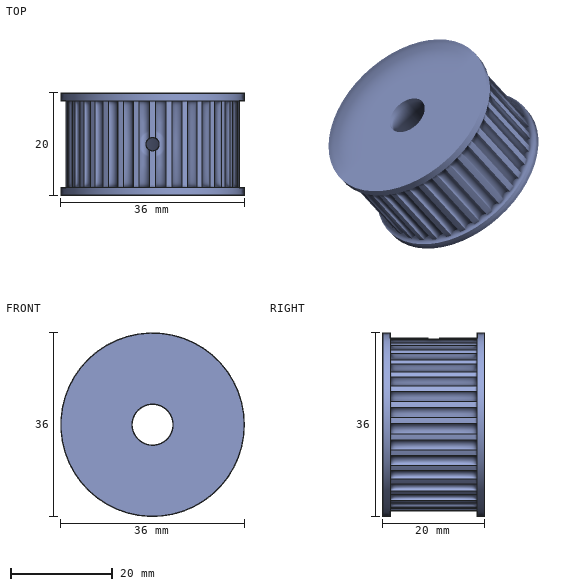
import cadquery as cq

flange_diameter = 36
total_width = 20.0
flange_width = 1.5
bore_diameter = 8.0

tooth_count = 33
rim_diameter = 34.0
groove_diameter = 2.0

screw_hole_diameter = 2.6

rim_radius = rim_diameter / 2
rim_width = total_width - 2 * flange_width
pitch_angle = 360 / tooth_count


def cylinder_along_y(diameter, width):
    """Solid cylinder on the Y axis, centred on the origin."""
    cylinder = cq.Workplane("XZ").circle(diameter / 2).extrude(width)
    return cylinder.translate((0, width / 2, 0))


def make_groove_cutter():
    """Round bar centred on the rim surface, above the axis."""
    return cylinder_along_y(groove_diameter, rim_width).translate((0, 0, rim_radius))


def make_toothed_rim():
    """Rim with evenly spaced half-round grooves and a tooth centred on +Z."""
    rim = cylinder_along_y(rim_diameter, rim_width)
    cutter = make_groove_cutter()
    for index in range(tooth_count):
        angle = (index + 0.5) * pitch_angle
        rim = rim.cut(cutter.rotate((0, 0, 0), (0, 1, 0), angle))
    return rim


def make_flange(side):
    """Plain disc at the end of the rim on the given side of Y."""
    offset = side * (total_width - flange_width) / 2
    return cylinder_along_y(flange_diameter, flange_width).translate((0, offset, 0))


pulley = make_toothed_rim().union(make_flange(-1)).union(make_flange(1))
pulley = pulley.cut(cylinder_along_y(bore_diameter, total_width))

screw_hole = cq.Workplane("XY").circle(screw_hole_diameter / 2).extrude(rim_radius)
result = pulley.cut(screw_hole)